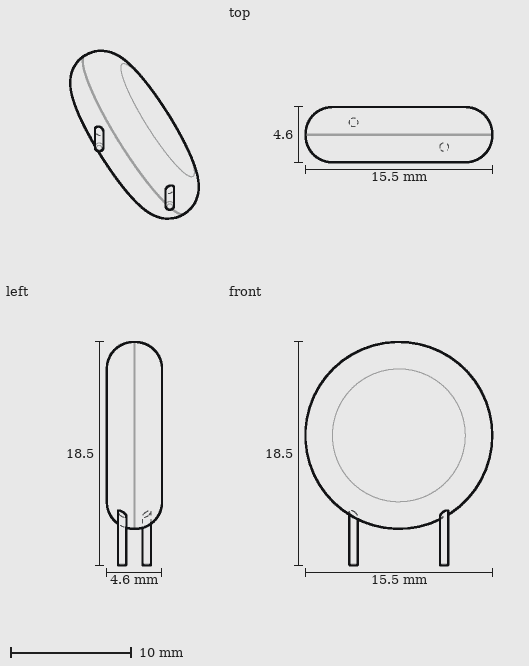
import cadquery as cq

disc_diameter = 15.5
disc_thickness = 4.6
rim_fillet_ratio = 2.05
rim_radius = disc_thickness / rim_fillet_ratio

lead_diameter = 0.72
lead_pitch = 7.5
lead_stagger = 2.04
lead_length_below_disc = 3.03
lead_tip_radius = lead_diameter / 5

disc_center_z = disc_diameter / 2
lead_length = disc_center_z + lead_length_below_disc


def make_disc():
    """Round disc with both rims rounded over, resting on Z = 0."""
    return (
        cq.Workplane("XZ", origin=(0, 0, disc_center_z))
        .circle(disc_diameter / 2)
        .extrude(disc_thickness / 2, both=True)
        .edges("%CIRCLE")
        .fillet(rim_radius)
    )


def make_lead(x, y):
    """Straight round wire with a rounded lower tip, ending inside the disc."""
    return (
        cq.Workplane("XY", origin=(x, y, -lead_length_below_disc))
        .circle(lead_diameter / 2)
        .extrude(lead_length)
        .faces("<Z")
        .edges()
        .fillet(lead_tip_radius)
    )


result = make_disc()
for side in (-1, 1):
    result = result.union(make_lead(side * lead_pitch / 2, -side * lead_stagger / 2))